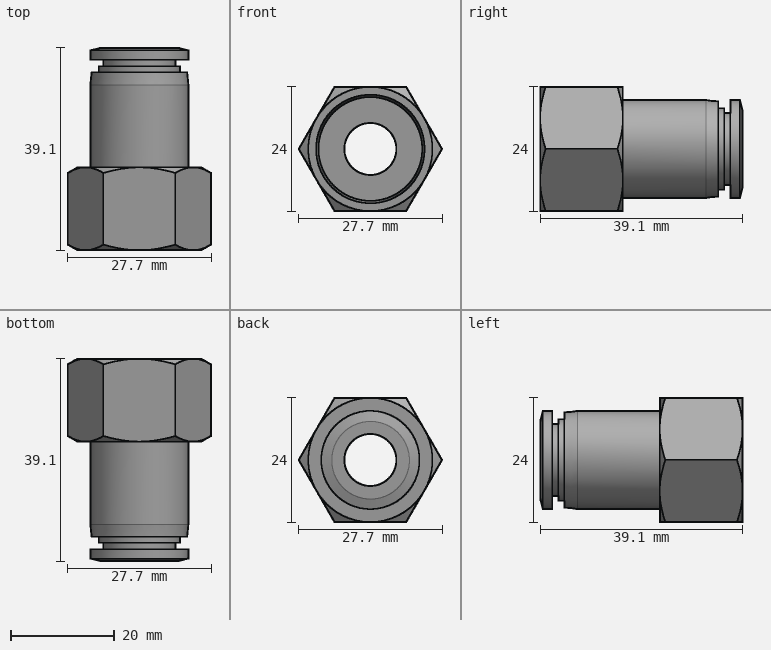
import cadquery as cq
import math

total_length = 39.1

across_flats = 24.0
nut_length = 16.0
nut_chamfer_angle = 30.0

sleeve_diameter = 19.0
sleeve_straight_end = 31.95
sleeve_end = 34.4
sleeve_tip_diameter = 18.5
step_diameter = 15.8
step_end = 35.6
neck_diameter = 14.0
collar_start = 36.75
collar_bevel_length = 0.5
collar_face_diameter = 15.0

socket_mouth_diameter = 21.0
socket_floor_diameter = 20.05
socket_depth = 14.0
bore_diameter = 10.0


def revolve_about_y(profile):
    """Revolve (radius, y) points, closed along the axis, about Y."""
    start, end = profile[0][1], profile[-1][1]
    points = [(0, start)] + profile + [(0, end)]
    return cq.Workplane("XY").polyline(points).close().revolve(360, (0, 0), (0, 1))


def make_nut():
    """Hexagon with corners on +X and -X, its corners bevelled at both ends."""
    flat_radius = across_flats / 2
    corner_radius = flat_radius / math.cos(math.radians(30))
    bevel_length = (corner_radius - flat_radius) * math.tan(math.radians(nut_chamfer_angle))
    hexagon = cq.Workplane("XZ").polygon(6, 2 * corner_radius).extrude(-nut_length)
    bevel_envelope = revolve_about_y([
        (flat_radius, 0),
        (corner_radius, bevel_length),
        (corner_radius, nut_length - bevel_length),
        (flat_radius, nut_length),
    ])
    return hexagon.intersect(bevel_envelope)


def make_sleeve():
    """Stepped sleeve with tapered tip, neck and bevelled release collar."""
    sleeve_radius = sleeve_diameter / 2
    return revolve_about_y([
        (sleeve_radius, 0),
        (sleeve_radius, sleeve_straight_end),
        (sleeve_tip_diameter / 2, sleeve_end),
        (step_diameter / 2, sleeve_end),
        (step_diameter / 2, step_end),
        (neck_diameter / 2, step_end),
        (neck_diameter / 2, collar_start),
        (sleeve_radius, collar_start),
        (sleeve_radius, total_length - collar_bevel_length),
        (collar_face_diameter / 2, total_length),
    ])


def make_cavity():
    """Tapered socket opening at y = 0, followed by the through bore."""
    return revolve_about_y([
        (socket_mouth_diameter / 2, 0),
        (socket_floor_diameter / 2, socket_depth),
        (bore_diameter / 2, socket_depth),
        (bore_diameter / 2, total_length),
    ])


result = make_nut().union(make_sleeve()).cut(make_cavity())